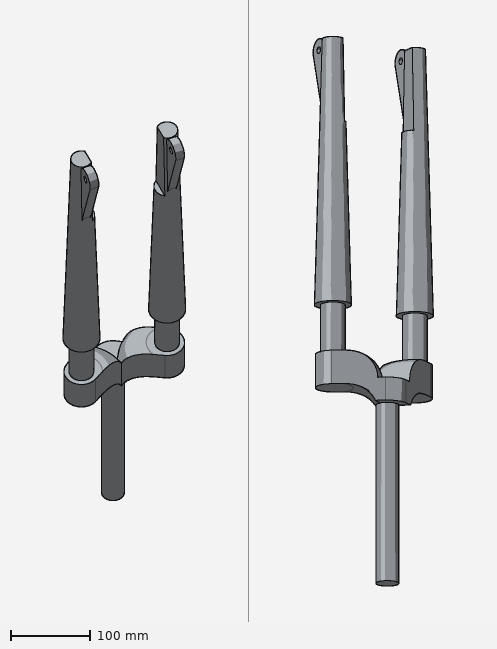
import cadquery as cq
import math

steerer_diameter = 29.0

crown_hub_bottom = 232.0
crown_hub_top = 262.0
crown_end_bottom = 254.5
crown_end_top = 298.0
sleeve_bottom = 362.0
sleeve_top = 708.0
fork_top = 713.0

leg_x = 35.0
leg_y = 59.0
stanchion_diameter = 31.5
sleeve_bottom_radius = 23.5
sleeve_top_radius = 13.5

hub_radius = 26.5
arm_end_radius = 22.0
upper_ramp_start = 26.5
lower_ramp_start = 26.0
upper_ramp_radius = crown_end_top - crown_hub_top
lower_ramp_end = 60.0

flat_offset = 9.0
flat_bottom = 599.5

lug_radius = 15.0
lug_x = 60.5
lug_z = fork_top - lug_radius
lug_thickness = 12.0
lug_hole_diameter = 8.5
lug_root_z = 602.5


def polar(center, radius, angle):
    """Point on a circle, with the angle in radians."""
    return (center[0] + radius * math.cos(angle), center[1] + radius * math.sin(angle))


def make_arm_plan():
    """Half of the crown in plan, from the XZ plane to the leg, as a tall block."""
    hub = (0, 0)
    end = (leg_x, leg_y)
    arm_angle = math.atan2(leg_y, leg_x)
    arm_length = math.hypot(leg_x, leg_y)
    taper = math.asin((hub_radius - arm_end_radius) / arm_length)
    outer_normal = arm_angle + math.pi / 2 - taper
    inner_normal = arm_angle - math.pi / 2
    inner_corner_x = arm_end_radius / math.sin(arm_angle)
    return (
        cq.Workplane("XY", origin=(0, 0, crown_hub_bottom))
        .moveTo(-hub_radius, 0)
        .threePointArc(polar(hub, hub_radius, (math.pi + outer_normal) / 2), polar(hub, hub_radius, outer_normal))
        .lineTo(*polar(end, arm_end_radius, outer_normal))
        .threePointArc(polar(end, arm_end_radius, arm_angle), polar(end, arm_end_radius, inner_normal))
        .lineTo(inner_corner_x, 0)
        .close()
        .extrude(crown_end_top - crown_hub_bottom)
    )


def make_ramp_envelope():
    """Solid of revolution about the leg axis that steps the arm down to the hub."""
    reach = leg_x + leg_y + hub_radius
    upper_ramp_end = upper_ramp_start + upper_ramp_radius
    upper_middle = polar((upper_ramp_start, crown_hub_top), upper_ramp_radius, math.pi / 4)
    run = lower_ramp_end - lower_ramp_start
    drop = crown_end_bottom - crown_hub_bottom
    lower_radius = (run**2 + drop**2) / (2 * drop)
    lower_sweep = math.atan2(run, lower_radius - drop)
    lower_center = (lower_ramp_start, crown_end_bottom - lower_radius)
    lower_middle = polar(lower_center, lower_radius, math.pi / 2 - lower_sweep / 2)
    return (
        cq.Workplane("XZ")
        .moveTo(0, crown_end_bottom)
        .lineTo(lower_ramp_start, crown_end_bottom)
        .threePointArc(lower_middle, (lower_ramp_end, crown_hub_bottom))
        .lineTo(reach, crown_hub_bottom)
        .lineTo(reach, crown_hub_top)
        .lineTo(upper_ramp_end, crown_hub_top)
        .threePointArc(upper_middle, (upper_ramp_start, crown_end_top))
        .lineTo(0, crown_end_top)
        .close()
        .revolve(360, (0, 0), (0, 1))
        .translate((leg_x, leg_y, 0))
    )


def make_stanchion():
    """Tube between the crown and the sleeve."""
    return (
        cq.Workplane("XY", origin=(leg_x, leg_y, crown_end_top))
        .circle(stanchion_diameter / 2)
        .extrude(sleeve_bottom - crown_end_top)
    )


def make_sleeve():
    """Tapered sleeve with a flat on its inner side near the top."""
    sleeve = (
        cq.Workplane("XY", origin=(leg_x, leg_y, sleeve_bottom))
        .circle(sleeve_bottom_radius)
        .workplane(offset=sleeve_top - sleeve_bottom)
        .circle(sleeve_top_radius)
        .loft()
    )
    flat_width = 2 * sleeve_bottom_radius
    flat_cut = cq.Workplane("XY").box(
        flat_width, flat_width, sleeve_top - flat_bottom, centered=(True, False, False)
    ).translate((leg_x, leg_y - flat_offset - flat_width, flat_bottom))
    return sleeve.cut(flat_cut)


def make_lug():
    """Plate on the +X side of the sleeve, with a round eye for the axle."""
    eye = (lug_x, lug_z)
    root = (leg_x + sleeve_top_radius, lug_root_z)
    root_distance = math.hypot(root[0] - eye[0], root[1] - eye[1])
    root_angle = math.atan2(root[1] - eye[1], root[0] - eye[0])
    tangent_angle = root_angle + math.acos(lug_radius / root_distance)
    plate = (
        cq.Workplane("XZ", origin=(0, leg_y, 0))
        .moveTo(*root)
        .lineTo(*polar(eye, lug_radius, tangent_angle))
        .threePointArc(polar(eye, lug_radius, math.pi / 4), (lug_x, fork_top))
        .threePointArc(polar(eye, lug_radius, 3 * math.pi / 4), (lug_x - lug_radius, lug_z))
        .lineTo(leg_x, lug_z)
        .lineTo(leg_x, lug_root_z)
        .close()
        .extrude(lug_thickness / 2, both=True)
    )
    hole = (
        cq.Workplane("XZ", origin=(lug_x, leg_y, lug_z))
        .circle(lug_hole_diameter / 2)
        .extrude(lug_thickness, both=True)
    )
    return plate.cut(hole)


def make_fork():
    """Crown, stanchions, sleeves and lugs as one solid."""
    arm = make_arm_plan().intersect(make_ramp_envelope())
    half = arm.union(make_stanchion()).union(make_sleeve()).union(make_lug())
    return half.union(half.mirror("XZ"))


def make_steerer():
    """Round bar that meets the underside of the crown hub."""
    return cq.Workplane("XY").circle(steerer_diameter / 2).extrude(crown_hub_bottom)


fork = make_fork()
steerer = make_steerer()
result = cq.Compound.makeCompound([fork.val(), steerer.val()])